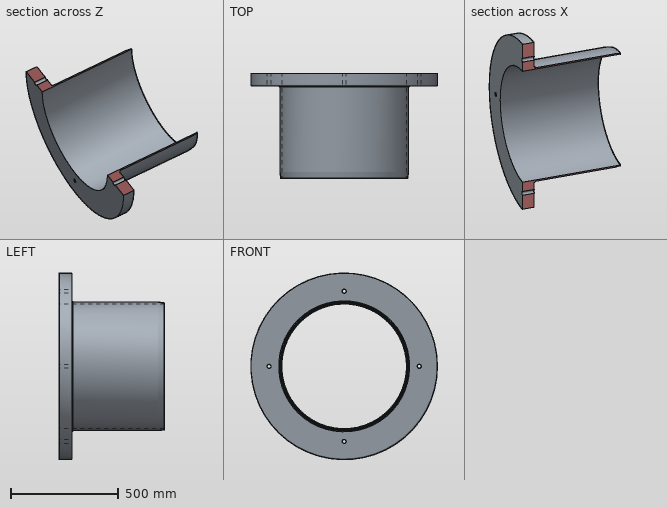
import cadquery as cq
import math

flange_diameter = 870.0
flange_thickness = 60.0
overall_length = 490.0

pipe_diameter = 600.0
bore_diameter = 581.0
tip_taper_length = 28.0
tip_taper_angle = 8.0
tip_taper_depth = tip_taper_length * math.tan(math.radians(tip_taper_angle))

flange_edge_radius = 6.0
root_weld_leg = 5.0

hole_diameter = 17.5
hole_circle_diameter = 700.0
hole_count = 4


def revolved_body():
    """Flange and pipe stub as one half section turned about the Y axis."""
    flange_radius = flange_diameter / 2
    pipe_radius = pipe_diameter / 2
    bore_radius = bore_diameter / 2
    flange_front = -flange_thickness
    pipe_tip = -overall_length

    section = (
        cq.Workplane("XY")
        .moveTo(bore_radius, 0)
        .lineTo(flange_radius, 0)
        .lineTo(flange_radius, flange_front + flange_edge_radius)
        .radiusArc((flange_radius - flange_edge_radius, flange_front), flange_edge_radius)
        .lineTo(pipe_radius + root_weld_leg, flange_front)
        .lineTo(pipe_radius, flange_front - root_weld_leg)
        .lineTo(pipe_radius, pipe_tip + tip_taper_length)
        .lineTo(pipe_radius - tip_taper_depth, pipe_tip)
        .lineTo(bore_radius, pipe_tip)
        .close()
    )
    return section.revolve(360, (0, 0, 0), (0, 1, 0))


def flange_holes():
    """Cutters for the holes, evenly spaced on the hole circle."""
    return (
        cq.Workplane("XZ")
        .polarArray(hole_circle_diameter / 2, 0, 360, hole_count)
        .circle(hole_diameter / 2)
        .extrude(flange_thickness)
    )


result = revolved_body().cut(flange_holes())